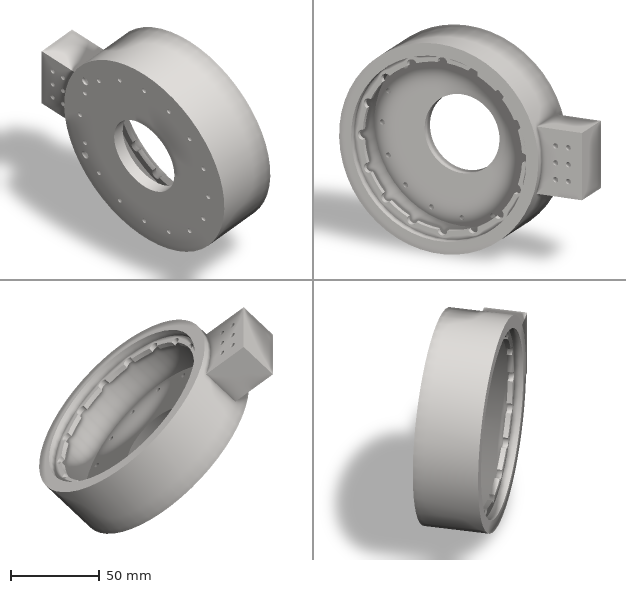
import cadquery as cq
import math

LENGTH = 150.0
HOUSING_DIA = 125.0
HOUSING_DEPTH = 38.0

BORE_DIA = 47.0
CAVITY_DIA = 110.0
FRONT_THICKNESS = 7.0
RING_BORE_DIA = 100.0
RING_THICKNESS = 3.0
LID_RECESS_DEPTH = 5.0

SCREW_COUNT = 16
SCREW_DIA = 3.0
SCREW_CIRCLE_DIA = RING_BORE_DIA
NOTCH_DIA = 6.0

SIDE_HOLE_DIA = 5.0
SIDE_HOLE_X = -46.0
SIDE_HOLE_Z = 28.2
SIDE_HOLE_DEPTH = 10.5
DRILL_POINT_ANGLE = 118.0

BLOCK_DEPTH = 25.0
BLOCK_HEIGHT = 40.0
BLOCK_FRONT_Y = 8.0
BLOCK_HOLE_DIA = 3.2
BLOCK_HOLE_EDGE = 8.5
BLOCK_HOLE_PITCH_X = 8.0
BLOCK_HOLE_PITCH_Z = 10.0
BLOCK_HOLE_COLUMNS = 2
BLOCK_HOLE_ROWS = 3

Y_AXIS = cq.Vector(0, 1, 0)
BLOCK_LEFT_X = HOUSING_DIA / 2 - LENGTH
BLOCK_RIGHT_X = -CAVITY_DIA / 2
BLOCK_BACK_Y = BLOCK_FRONT_Y + BLOCK_DEPTH
RING_BACK_Y = HOUSING_DEPTH - LID_RECESS_DEPTH
RING_FRONT_Y = RING_BACK_Y - RING_THICKNESS


def cylinder(diameter, start_y, end_y, x=0.0, z=0.0):
    """Solid cylinder along +Y between two Y positions."""
    base = cq.Vector(x, start_y, z)
    return cq.Workplane(cq.Solid.makeCylinder(diameter / 2, end_y - start_y, base, Y_AXIS))


def drilled_hole(diameter, depth, x, z):
    """Blind hole from the front face ending in a conical drill point."""
    radius = diameter / 2
    point_length = radius / math.tan(math.radians(DRILL_POINT_ANGLE / 2))
    tip = cq.Solid.makeCone(radius, 0, point_length, cq.Vector(x, depth, z), Y_AXIS)
    return cylinder(diameter, 0, depth, x, z).union(cq.Workplane(tip))


def mounting_block():
    """Rectangular block whose inner end is buried in the housing wall."""
    width = BLOCK_RIGHT_X - BLOCK_LEFT_X
    block = cq.Workplane("XY").box(width, BLOCK_DEPTH, BLOCK_HEIGHT, centered=(False, False, True))
    return block.translate((BLOCK_LEFT_X, BLOCK_FRONT_Y, 0))


result = cylinder(HOUSING_DIA, 0, HOUSING_DEPTH).union(mounting_block())

result = result.cut(cylinder(BORE_DIA, 0, FRONT_THICKNESS))
result = result.cut(cylinder(CAVITY_DIA, FRONT_THICKNESS, RING_FRONT_Y))
result = result.cut(cylinder(RING_BORE_DIA, RING_FRONT_Y, RING_BACK_Y))
result = result.cut(cylinder(CAVITY_DIA, RING_BACK_Y, HOUSING_DEPTH))

for index in range(SCREW_COUNT):
    angle = 2 * math.pi * index / SCREW_COUNT
    screw_x = SCREW_CIRCLE_DIA / 2 * math.cos(angle)
    screw_z = SCREW_CIRCLE_DIA / 2 * math.sin(angle)
    result = result.cut(cylinder(SCREW_DIA, 0, FRONT_THICKNESS, screw_x, screw_z))
    result = result.cut(cylinder(NOTCH_DIA, RING_FRONT_Y, RING_BACK_Y, screw_x, screw_z))

for side in (-1, 1):
    result = result.cut(drilled_hole(SIDE_HOLE_DIA, SIDE_HOLE_DEPTH, SIDE_HOLE_X, side * SIDE_HOLE_Z))

for column in range(BLOCK_HOLE_COLUMNS):
    hole_x = BLOCK_LEFT_X + BLOCK_HOLE_EDGE + column * BLOCK_HOLE_PITCH_X
    for row in range(BLOCK_HOLE_ROWS):
        hole_z = (row - (BLOCK_HOLE_ROWS - 1) / 2) * BLOCK_HOLE_PITCH_Z
        result = result.cut(cylinder(BLOCK_HOLE_DIA, BLOCK_FRONT_Y, BLOCK_BACK_Y, hole_x, hole_z))